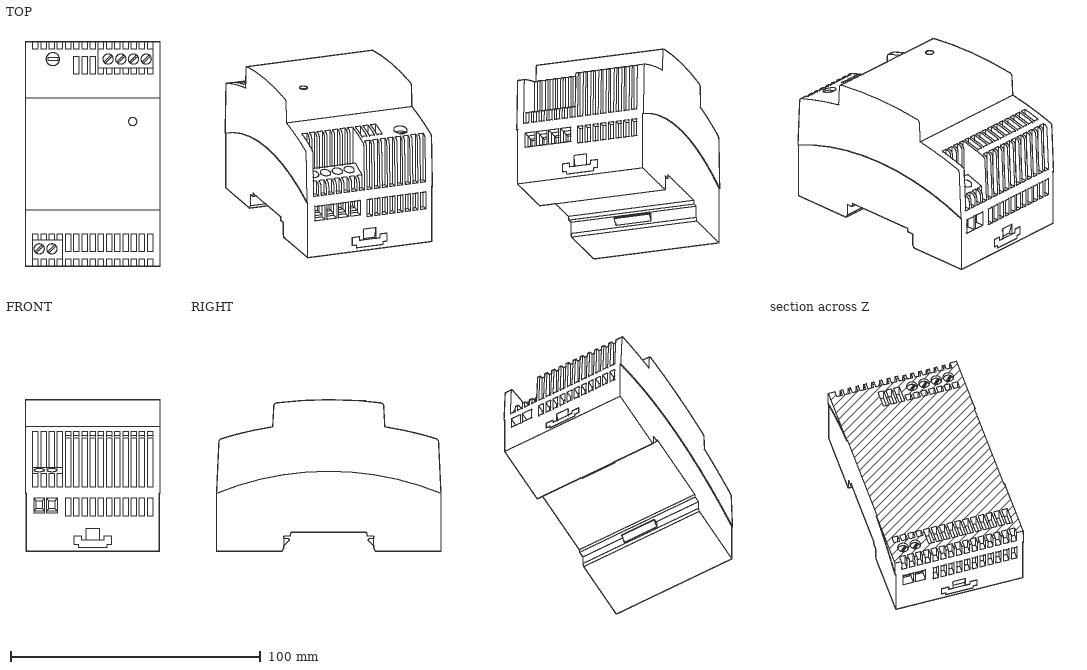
import cadquery as cq
import math


cap_width = 54.0
base_inset = 0.3
base_width = cap_width - 2 * base_inset
half_length = 45.0
total_height = 60.83

seam_end_z = 23.25
seam_peak_z = 32.1

shoulder_y = 44.0
step_base_y = 22.5
step_base_z = 49.95
shoulder_radius = 145.0
crown_y = 22.0
crown_end_z = 59.4
edge_radius = 1.4

rail_mouth_y = 18.7
rail_wall_y = 18.0
rail_chamfer_z = 1.3
rail_ledge_z = 6.1
rail_ledge_y = 15.4
rail_roof_y = 15.1
rail_roof_z = 7.6

slot_count = 15
slot_span = 46.0
slot_pitch = slot_span / (slot_count - 1)
slot_width = 2.2
wall_slot_y = 42.15
slot_floor_z = 25.7
shoulder_vent_inner_y = 32.0
shoulder_vent_outer_y = 39.1
low_vent_bottom_z = 14.25
low_vent_top_z = 21.4

pocket_y = 34.5
pocket_inner_z = 33.7
pocket_outer_z = 31.2
rib_radius = 2.0
screw_y = 38.0
screw_pitch = 5.08
screw_radius = 2.05
screw_floor_z = 29.0
driver_slot_width = 0.7
driver_slot_depth = 0.6
driver_slot_angle = 45

front_screw_x = -21.45
rear_screw_x = 6.15
front_screws = [front_screw_x + i * screw_pitch for i in range(2)]
rear_screws = [rear_screw_x + i * screw_pitch for i in range(4)]
front_pocket_slots = (0, 3)
rear_pocket_slots = (8, 14)
front_vents = range(4, slot_count)
rear_vents = range(5, 8)
rear_low_vents = range(0, 8)

entry_width = 4.3
entry_bottom_z = 15.3
entry_well_depth = 3.5
funnel_bottom_z = 16.2
funnel_end_width = 2.6
funnel_end_bottom_z = 17.15
funnel_end_top_z = 20.2
funnel_depth = 0.8
entry_bore_depth = 2.0

clip_half_width = 7.5
clip_foot_half_width = 5.7
clip_notch_half_width = 4.45
clip_foot_z = 1.5
clip_shoulder_z = 2.7
clip_notch_z = 4.5
clip_top_z = 6.1
clip_inset = 0.1
window_half_width = 2.65
window_top_z = 9.1
window_depth = 1.5
hook_tip_y = 15.8
hook_top_z = 5.2
hook_bottom_z = 2.3
hook_nose = 0.4

trimmer_x = -16.0
trimmer_radius = 2.65
trimmer_depth = 0.8
trimmer_slot_length = 4.0
trimmer_slot_width = 1.1
lamp_x = 16.0
lamp_y = 13.0
lamp_radius = 1.65
lamp_length = 2.0
lamp_rise = 0.05

FRONT = -1
REAR = 1
clearance = 20.0


def slot_x(index):
    """X of the centre of a slot, counted from the left."""
    return (index - (slot_count - 1) / 2) * slot_pitch


def span_box(x_range, y_range, z_range):
    """Box between the given limits, in any order."""
    sizes = [abs(b - a) for a, b in (x_range, y_range, z_range)]
    middles = [(a + b) / 2 for a, b in (x_range, y_range, z_range)]
    return cq.Workplane("XY").box(*sizes).translate(tuple(middles))


def slot_box(index, y_range, z_range):
    """Cutting box for one ventilation slot."""
    x = slot_x(index)
    return span_box((x - slot_width / 2, x + slot_width / 2), y_range, z_range)


def extrude_along_x(profile, width):
    """Extrude a closed YZ profile symmetrically about X = 0."""
    return profile.extrude(width / 2, both=True)


def circle_height(y, radius, y_ref, z_ref):
    """Height at y of a circle centred on Y = 0 that passes through (y_ref, z_ref)."""
    return z_ref + math.sqrt(radius**2 - y**2) - math.sqrt(radius**2 - y_ref**2)


def shoulder_height(y):
    """Height of the shoulder surface at y."""
    return circle_height(y, shoulder_radius, step_base_y, step_base_z)


def make_cap():
    """Upper shell: stepped, arched outline with rounded shoulder and crown edges."""
    corner_z = shoulder_height(shoulder_y)
    middle_y = (step_base_y + shoulder_y) / 2
    middle_z = shoulder_height(middle_y)
    profile = (
        cq.Workplane("YZ")
        .moveTo(-half_length, seam_end_z)
        .threePointArc((0, seam_peak_z), (half_length, seam_end_z))
        .lineTo(shoulder_y, corner_z)
        .threePointArc((middle_y, middle_z), (step_base_y, step_base_z))
        .lineTo(crown_y, crown_end_z)
        .threePointArc((0, total_height), (-crown_y, crown_end_z))
        .lineTo(-step_base_y, step_base_z)
        .threePointArc((-middle_y, middle_z), (-shoulder_y, corner_z))
        .close()
    )
    cap = extrude_along_x(profile, cap_width)
    for y, z in ((shoulder_y, corner_z), (crown_y, crown_end_z)):
        for side in (FRONT, REAR):
            edge_point = (0, side * y, z)
            cap = cap.edges(cq.selectors.NearestToPointSelector(edge_point)).fillet(edge_radius)
    return cap


def make_base():
    """Slightly narrower lower shell with the rail recess underneath."""
    profile = (
        cq.Workplane("YZ")
        .moveTo(-half_length, 0)
        .lineTo(-half_length, seam_end_z)
        .threePointArc((0, seam_peak_z), (half_length, seam_end_z))
        .lineTo(half_length, 0)
        .lineTo(rail_mouth_y, 0)
        .lineTo(rail_wall_y, rail_chamfer_z)
        .lineTo(rail_wall_y, rail_ledge_z)
        .lineTo(rail_ledge_y, rail_ledge_z)
        .lineTo(rail_roof_y, rail_roof_z)
        .lineTo(-rail_roof_y, rail_roof_z)
        .lineTo(-rail_ledge_y, rail_ledge_z)
        .lineTo(-rail_wall_y, rail_ledge_z)
        .lineTo(-rail_wall_y, rail_chamfer_z)
        .lineTo(-rail_mouth_y, 0)
        .close()
    )
    return extrude_along_x(profile, base_width)


def cut_terminal_pocket(body, side, first_slot, last_slot):
    """Open the corner over a terminal block: steep inner wall, sloping floor, rounded rib edges."""
    x_start = slot_x(first_slot) - slot_width / 2
    x_end = slot_x(last_slot) + slot_width / 2
    fall = (pocket_inner_z - pocket_outer_z) / (wall_slot_y - pocket_y)
    outside_y = half_length + clearance
    outside_z = pocket_inner_z - fall * (outside_y - pocket_y)
    pocket = (
        cq.Workplane("YZ", origin=(x_start, 0, 0))
        .moveTo(side * pocket_y, pocket_inner_z)
        .lineTo(side * outside_y, outside_z)
        .lineTo(side * outside_y, total_height)
        .lineTo(side * pocket_y, total_height)
        .close()
        .extrude(x_end - x_start)
    )
    body = body.cut(pocket)
    x_middle = (x_start + x_end) / 2
    rim = (x_middle, side * pocket_y, shoulder_height(pocket_y))
    lip = (x_middle, side * half_length, pocket_outer_z)
    for point in (rim, lip):
        body = body.edges("|X").edges(cq.selectors.NearestToPointSelector(point)).fillet(rib_radius)
    for index in range(first_slot, last_slot + 1):
        y_range = (side * shoulder_vent_inner_y, side * pocket_y)
        body = body.cut(slot_box(index, y_range, (slot_floor_z, total_height)))
    return body


def terminal_screw(side, x):
    """Screw well with a diagonal driver slot in the screw head at its bottom."""
    well = (
        cq.Workplane("XY", origin=(x, side * screw_y, screw_floor_z))
        .circle(screw_radius)
        .extrude(pocket_inner_z - screw_floor_z)
    )
    driver_slot = (
        cq.Workplane("XY", origin=(x, side * screw_y, screw_floor_z - driver_slot_depth))
        .transformed(rotate=(0, 0, driver_slot_angle))
        .rect(2 * screw_radius, driver_slot_width)
        .extrude(driver_slot_depth)
    )
    return well.union(driver_slot)


def wire_entry(side, x):
    """Rectangular well, then a funnel narrowing to a short bore."""
    well_floor_y = half_length - entry_well_depth
    funnel_end_y = well_floor_y - funnel_depth
    well = span_box(
        (x - entry_width / 2, x + entry_width / 2),
        (side * half_length, side * well_floor_y),
        (entry_bottom_z, low_vent_top_z),
    )
    mouth_height = low_vent_top_z - funnel_bottom_z
    mouth_z = (low_vent_top_z + funnel_bottom_z) / 2
    end_height = funnel_end_top_z - funnel_end_bottom_z
    end_z = (funnel_end_top_z + funnel_end_bottom_z) / 2
    inward = cq.Plane(origin=(x, side * well_floor_y, mouth_z), xDir=(side, 0, 0), normal=(0, -side, 0))
    funnel = (
        cq.Workplane(inward)
        .rect(entry_width, mouth_height)
        .workplane(offset=funnel_depth)
        .center(0, end_z - mouth_z)
        .rect(funnel_end_width, end_height)
        .loft()
    )
    bore = span_box(
        (x - funnel_end_width / 2, x + funnel_end_width / 2),
        (side * funnel_end_y, side * (funnel_end_y - entry_bore_depth)),
        (funnel_end_bottom_z, funnel_end_top_z),
    )
    return well.union(funnel).union(bore)


def clip_outline():
    """Right half of the clip face from the foot up, mirrored for the left half."""
    right = [
        (clip_foot_half_width, clip_foot_z),
        (clip_foot_half_width, clip_shoulder_z),
        (clip_half_width, clip_shoulder_z),
        (clip_half_width, clip_top_z),
        (clip_notch_half_width, clip_top_z),
        (clip_notch_half_width, clip_notch_z),
    ]
    left = [(-x, z) for x, z in reversed(right)]
    return right + left


def clip_recess(side):
    """Slightly sunk clip face with a wedge-shaped screwdriver window above it."""
    face = (
        cq.Workplane("XZ", origin=(0, side * half_length, 0))
        .polyline(clip_outline())
        .close()
        .extrude(side * clip_inset)
    )
    window = extrude_along_x(
        cq.Workplane("YZ").polyline(
            [
                (side * half_length, window_top_z),
                (side * half_length, clip_notch_z),
                (side * (half_length - window_depth), clip_notch_z),
            ]
        ).close(),
        2 * window_half_width,
    )
    return face.union(window)


def clip_hook(side):
    """Nose of the clip that reaches under the rail."""
    profile = cq.Workplane("YZ").polyline(
        [
            (side * rail_mouth_y, hook_top_z),
            (side * (hook_tip_y + hook_nose), hook_top_z),
            (side * hook_tip_y, hook_top_z - hook_nose),
            (side * hook_tip_y, hook_top_z - 2 * hook_nose),
            (side * rail_wall_y, hook_bottom_z),
            (side * rail_mouth_y, hook_bottom_z),
        ]
    ).close()
    return extrude_along_x(profile, 2 * clip_half_width)


def cut_terminal_end(body, side, terminal_slots, screw_xs, vent_slots, low_vent_slots):
    """Cut everything that belongs to one end, then add its rail clip hook."""
    first_slot, last_slot = terminal_slots
    body = cut_terminal_pocket(body, side, first_slot, last_slot)
    outside_y = side * (half_length + clearance)
    for index in range(slot_count):
        body = body.cut(slot_box(index, (side * wall_slot_y, outside_y), (slot_floor_z, total_height)))
    vent_y = (side * shoulder_vent_inner_y, side * shoulder_vent_outer_y)
    for index in vent_slots:
        body = body.cut(slot_box(index, vent_y, (slot_floor_z, total_height)))
    for index in low_vent_slots:
        z_range = (low_vent_bottom_z, low_vent_top_z)
        body = body.cut(slot_box(index, (side * wall_slot_y, outside_y), z_range))
    for x in screw_xs:
        body = body.cut(terminal_screw(side, x))
        body = body.cut(wire_entry(side, x))
    return body.cut(clip_recess(side)).union(clip_hook(side))


def trimmer_cut():
    """Round trimmer recess with a screwdriver slot in its floor."""
    floor_z = shoulder_height(screw_y + trimmer_radius) - trimmer_depth
    well = (
        cq.Workplane("XY", origin=(trimmer_x, screw_y, floor_z))
        .circle(trimmer_radius)
        .extrude(total_height - floor_z)
    )
    driver_slot = (
        cq.Workplane("XY", origin=(trimmer_x, screw_y, floor_z - driver_slot_depth))
        .rect(trimmer_slot_length, trimmer_slot_width)
        .extrude(driver_slot_depth)
    )
    return well.union(driver_slot)


def indicator_lamp():
    """Flat-topped lamp that stands just proud of the crown all round."""
    crown_sag = total_height - crown_end_z
    crown_radius = (crown_y**2 + crown_sag**2) / (2 * crown_sag)
    top_z = circle_height(lamp_y - lamp_radius, crown_radius, 0, total_height) + lamp_rise
    return (
        cq.Workplane("XY", origin=(lamp_x, lamp_y, top_z - lamp_length))
        .circle(lamp_radius)
        .extrude(lamp_length)
    )


result = make_base().union(make_cap())
result = cut_terminal_end(result, FRONT, front_pocket_slots, front_screws, front_vents, front_vents)
result = cut_terminal_end(result, REAR, rear_pocket_slots, rear_screws, rear_vents, rear_low_vents)
result = result.cut(trimmer_cut()).union(indicator_lamp())